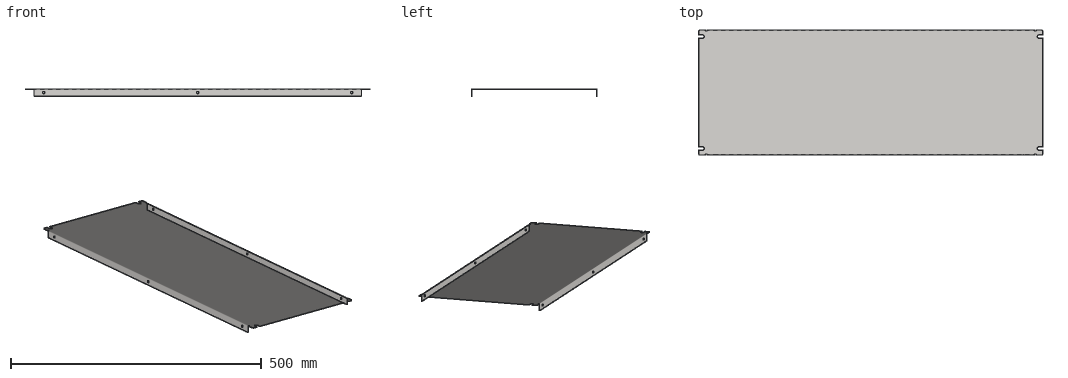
import cadquery as cq

length = 686.5
width = 250.0
height = 15.0
thickness = 1.0
corner_radius = 3.5

flange_inset = 16.5
flange_length = length - 2 * flange_inset
flange_corner_radius = 2.0
bend_outer_radius = 2.0
bend_inner_radius = bend_outer_radius - thickness

relief_width = 3.0
relief_depth = bend_outer_radius

slot_width = 6.5
slot_depth = 11.0
slot_spacing = 223.0

hole_diameter = 4.2
hole_spacing = 307.0
hole_drop = 7.5


def make_channel():
    """Flat top sheet with the two long sides folded down."""
    outer = (
        cq.Workplane("XY")
        .box(flange_length, width, height, centered=(True, True, False))
        .edges("|X and >Z")
        .fillet(bend_outer_radius)
        .edges("|Y and <Z")
        .fillet(flange_corner_radius)
    )
    inner = (
        cq.Workplane("XY")
        .box(flange_length, width - 2 * thickness, height - thickness, centered=(True, True, False))
        .edges("|X and >Z")
        .fillet(bend_inner_radius)
    )
    return outer.cut(inner)


def make_end_tab(side):
    """Flat end of the sheet that extends past the flanges."""
    tab_length = flange_inset
    tab = (
        cq.Workplane("XY", origin=(side * (length - tab_length) / 2, 0, height - thickness))
        .box(tab_length, width, thickness, centered=(True, True, False))
        .edges("|Z and >X" if side > 0 else "|Z and <X")
        .fillet(corner_radius)
    )
    reliefs = (
        cq.Workplane("XY", origin=(side * (flange_length + relief_width) / 2, 0, 0))
        .pushPoints([(0, -width / 2), (0, width / 2)])
        .rect(relief_width, 2 * relief_depth)
        .extrude(height)
    )
    return tab.cut(reliefs)


def make_slots():
    """Round-ended slot cutters, centred on the short edges."""
    return (
        cq.Workplane("XY")
        .rarray(length, slot_spacing, 2, 2)
        .slot2D(2 * slot_depth, slot_width)
        .extrude(height)
    )


def make_holes():
    """Three cutters that pass through both flanges."""
    return (
        cq.Workplane("XZ", origin=(0, 0, height - hole_drop))
        .rarray(hole_spacing, 7, 3, 1)
        .circle(hole_diameter / 2)
        .extrude(width, both=True)
    )


panel = make_channel()
for end_side in (-1, 1):
    panel = panel.union(make_end_tab(end_side))
result = panel.cut(make_slots()).cut(make_holes())